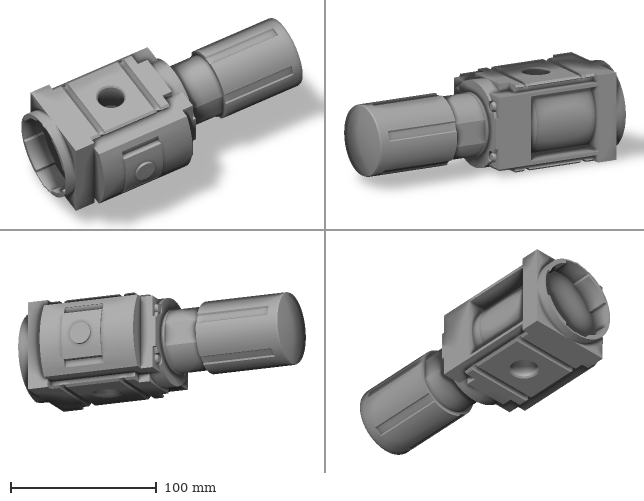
import cadquery as cq
import math


ring_front = 0.4
block_front = 7.8
body_front = 22.4
body_back = 92.1
pocketed_cover_back = 100.5
cover_back = 102.8
collar_rim = 104.2
collar_back = 105.7
knob_front = 130.3
knob_shoulder = 189.9
knob_rim = 191.0
total_length = 194.7

housing_width = 62.0
half_width = housing_width / 2
rail_half_height = 25.5
port_y = 53.5

plate_back = 84.5
plate_half_top = 25.1
plate_half_widest = 26.9
plate_half_neck = 24.1
plate_widest_z = 29.6
plate_undercut_z = 28.5
stem_half_width = 16.7
groove_offset = 22.2
groove_radius = 2.5
groove_depth = 2.1

port_diameter = 18.7
port_mouth_diameter = 20.8
port_depth = 19.5
port_chamfer = (port_mouth_diameter - port_diameter) / 2

ring_seat_radius = 27.7
ring_notch_radius = 29.8
ring_notch_half_width = 10.7
ring_depth = 15.2
tab_width = 3.5

window_front = 22.0
window_back = 75.2
window_half_height = 23.2
window_wall_x = -17.0
window_corner_radius = 0.8
bowl_radius = 27.3
bowl_half_height = 21.5
bowl_collar_front = 68.7
bowl_collar_radius = 27.8
bowl_collar_half_height = 22.2

hub_radius = math.hypot(stem_half_width, rail_half_height)
tongue_half_height = 10.7
screw_x = 24.0
screw_z = 18.0
screw_recess_diameter = 8.5
screw_base_diameter = 7.0
screw_top_diameter = 4.5
screw_height = 2.1

collar_radius = 45.0 / 2
collar_foot_radius = 21.8
neck_radius = 22.0
neck_half_flats = 20.5
knob_radius = 50.2 / 2
knob_rim_radius = 24.7
grip_count = 5
grip_back = 183.6
grip_width = 8.0
grip_floor_width = 5.5
grip_floor_radius = 24.0

panel_edge_x = 37.4
panel_crown_x = 45.0
gauge_width = 29.0
gauge_half_height = 16.4
gauge_rise = 1.2
gauge_pocket_floor_x = 39.1
gauge_pocket_half_height = 21.2
dial_diameter = 15.0
dial_face_x = 47.5


def box(x_range, y_range, z_range):
    """Box between two corners."""
    lengths = [high - low for low, high in (x_range, y_range, z_range)]
    corner = (x_range[0], y_range[0], z_range[0])
    return cq.Workplane("XY").box(*lengths, centered=False).translate(corner)


def centered_box(half_x, y_range, half_z):
    """Box centred on the main axis."""
    return box((-half_x, half_x), y_range, (-half_z, half_z))


def section(y):
    """Sketch plane across the main axis, with local x = X and local y = Z."""
    return cq.Workplane("XZ", origin=(0, y, 0))


def rod(radius, y_start, y_end):
    """Cylinder on the main axis."""
    return section(y_start).circle(radius).extrude(y_start - y_end)


def both_sides(shape):
    """The shape together with its mirror image below the XY plane."""
    return shape.union(shape.mirror("XY"))


def make_housing():
    housing = centered_box(half_width, (block_front, body_front), half_width)
    rails = centered_box(half_width, (body_front, body_back), rail_half_height)
    return housing.union(rails)


def make_plate():
    """T-shaped top plate with dovetail flanks, crossed by two round grooves."""
    right_flank = [
        (plate_half_neck, rail_half_height),
        (plate_half_neck, plate_undercut_z),
        (plate_half_widest, plate_widest_z),
        (plate_half_top, half_width),
    ]
    left_flank = [(-x, z) for x, z in reversed(right_flank)]
    plate = section(body_front).polyline(right_flank + left_flank).close().extrude(body_front - plate_back)
    stem_z = (rail_half_height, half_width)
    plate = plate.union(box((-stem_half_width, stem_half_width), (plate_back, body_back), stem_z))
    groove_axis_z = half_width - groove_depth + groove_radius
    for y in (port_y - groove_offset, port_y + groove_offset):
        groove = cq.Workplane("YZ").center(y, groove_axis_z).circle(groove_radius)
        plate = plate.cut(groove.extrude(half_width, both=True))
    return plate


def make_port():
    """Blind port with a countersunk mouth, opening at the top plate."""
    mouth = cq.Workplane("XY", origin=(0, port_y, half_width))
    bore = mouth.circle(port_diameter / 2).extrude(-port_depth)
    countersink = mouth.circle(port_mouth_diameter / 2).extrude(-port_chamfer, taper=45)
    return bore.union(countersink)


def add_ring(body):
    """Front ring with four notches in its seat and a tab at the top and bottom."""
    body = body.union(rod(half_width, ring_front, block_front))
    tab_z = (ring_notch_radius, half_width)
    tab = box((-tab_width / 2, tab_width / 2), (0, block_front), tab_z)
    body = body.union(both_sides(tab))
    seat_y = (ring_front, ring_front + ring_depth)
    notches = centered_box(half_width, seat_y, ring_notch_half_width)
    notches = notches.union(centered_box(ring_notch_half_width, seat_y, half_width))
    notches = notches.intersect(rod(ring_notch_radius, *seat_y))
    return body.cut(rod(ring_seat_radius, *seat_y)).cut(notches)


def add_window(body):
    """Window in the -X side, with the round bowl and its collar bulging inside."""
    window_z = (-window_half_height, window_half_height)
    window = box((-half_width, window_wall_x), (window_front, window_back), window_z)
    body = body.cut(window.edges("|X").fillet(window_corner_radius))
    bowl_y = (window_front, bowl_collar_front)
    bowl = rod(bowl_radius, *bowl_y).intersect(centered_box(half_width, bowl_y, bowl_half_height))
    collar_y = (bowl_collar_front, window_back)
    collar = rod(bowl_collar_radius, *collar_y)
    collar = collar.intersect(centered_box(half_width, collar_y, bowl_collar_half_height))
    return body.union(bowl).union(collar)


def make_cover():
    cover = centered_box(half_width, (body_back, pocketed_cover_back), rail_half_height)
    cover = cover.union(rod(hub_radius, body_back, cover_back))
    cover = cover.union(centered_box(half_width, (body_back, cover_back), tongue_half_height))
    screw_places = [(x, z) for x in (-screw_x, screw_x) for z in (-screw_z, screw_z)]
    seats = section(pocketed_cover_back).pushPoints(screw_places)
    cover = cover.cut(seats.circle(screw_recess_diameter / 2).extrude(pocketed_cover_back - cover_back))
    for x, z in screw_places:
        head = section(pocketed_cover_back).center(x, z).circle(screw_base_diameter / 2)
        head = head.workplane(offset=-screw_height).circle(screw_top_diameter / 2).loft()
        cover = cover.union(head)
    return cover


def make_neck():
    """Neck with two flats, standing on a collar with a tapered foot."""
    collar = (
        cq.Workplane("XY")
        .moveTo(0, cover_back)
        .lineTo(collar_foot_radius, cover_back)
        .lineTo(collar_radius, collar_rim)
        .lineTo(collar_radius, collar_back)
        .lineTo(0, collar_back)
        .close()
        .revolve(360, (0, 0, 0), (0, 1, 0))
    )
    neck_y = (collar_back, knob_front)
    neck = rod(neck_radius, *neck_y).intersect(centered_box(neck_half_flats, neck_y, neck_radius))
    return collar.union(neck)


def make_knob():
    """Knob with a domed end and evenly spaced grip slots."""
    dome_rise = total_length - knob_rim
    dome_radius = (knob_rim_radius**2 + dome_rise**2) / (2 * dome_rise)
    dome_mid_x = knob_rim_radius / 2
    dome_mid_y = total_length - dome_radius + math.sqrt(dome_radius**2 - dome_mid_x**2)
    knob = (
        cq.Workplane("XY")
        .moveTo(0, knob_front)
        .lineTo(knob_radius, knob_front)
        .lineTo(knob_radius, knob_shoulder)
        .lineTo(knob_rim_radius, knob_rim)
        .threePointArc((dome_mid_x, dome_mid_y), (0, total_length))
        .close()
        .revolve(360, (0, 0, 0), (0, 1, 0))
    )
    slot_profile = [
        (-grip_floor_width / 2, grip_floor_radius),
        (grip_floor_width / 2, grip_floor_radius),
        (grip_width / 2, knob_radius),
        (-grip_width / 2, knob_radius),
    ]
    slot = section(knob_front).polyline(slot_profile).close().extrude(knob_front - grip_back)
    for index in range(grip_count):
        angle = index * 360 / grip_count
        knob = knob.cut(slot.rotate((0, 0, 0), (0, 1, 0), angle))
    return knob


def arched_slab(start_x, edge_x, crown_x, half_height, y_start, y_end):
    """Slab along Y whose outer face is an arc from edge to crown to edge."""
    return (
        section(y_start)
        .moveTo(start_x, -half_height)
        .lineTo(edge_x, -half_height)
        .threePointArc((crown_x, 0), (edge_x, half_height))
        .lineTo(start_x, half_height)
        .close()
        .extrude(y_start - y_end)
    )


def make_panel():
    """Arched side panel with a pocket that holds the gauge and its dial."""
    panel = arched_slab(half_width, panel_edge_x, panel_crown_x, rail_half_height, body_front, body_back)

    gauge_y = (port_y - gauge_width / 2, port_y + gauge_width / 2)
    pocket_z = (-gauge_pocket_half_height, gauge_pocket_half_height)
    panel = panel.cut(box((gauge_pocket_floor_x, dial_face_x), gauge_y, pocket_z))

    arch_rise = panel_crown_x - panel_edge_x
    arch_radius = (rail_half_height**2 + arch_rise**2) / (2 * arch_rise)
    gauge_crown_x = panel_crown_x + gauge_rise
    gauge_edge_x = gauge_crown_x - arch_radius + math.sqrt(arch_radius**2 - gauge_half_height**2)
    gauge = arched_slab(gauge_pocket_floor_x, gauge_edge_x, gauge_crown_x, gauge_half_height, *gauge_y)

    dial_seat = cq.Workplane("YZ", origin=(gauge_pocket_floor_x, port_y, 0))
    dial = dial_seat.circle(dial_diameter / 2).extrude(dial_face_x - gauge_pocket_floor_x)
    return panel.union(gauge).union(dial)


body = make_housing().union(both_sides(make_plate()))
body = add_window(body)
body = body.cut(both_sides(make_port()))
body = add_ring(body)
body = body.union(make_cover())
body = body.union(make_panel())
body = body.union(make_neck())
result = body.union(make_knob())